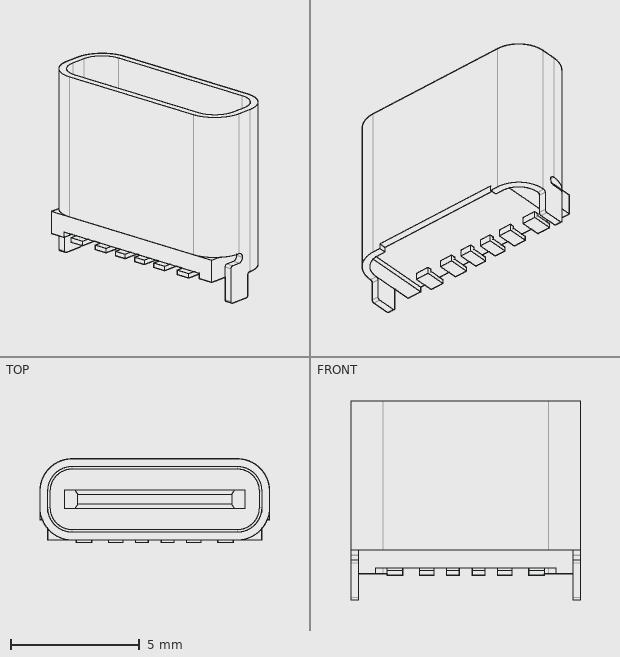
import cadquery as cq

SHELL_WIDTH = 8.94
SHELL_DEPTH = 3.165
SHELL_RADIUS = 1.26
WALL = 0.3
TOP_Z = 7.75
BASE_Z = 1.03
CAVITY_WIDTH = SHELL_WIDTH - 2 * WALL
CAVITY_DEPTH = SHELL_DEPTH - 2 * WALL
CAVITY_RADIUS = SHELL_RADIUS - WALL
FRONT_Y = -SHELL_DEPTH / 2

SLOT_TOP_Z = 1.95
SLOT_HEIGHT = 0.39
SLOT_RADIUS = 0.19
SLOT_END_Y = -0.125
SLOT_BOTTOM_Z = SLOT_TOP_Z - SLOT_HEIGHT
BEND_START_Y = SLOT_END_Y - SLOT_RADIUS

LEG_FRONT_Y = -0.8
LEG_BACK_Y = 0.2
LEG_CORNER_RADIUS = 0.1

FLOOR_CHAMFER = 0.1
FLOOR_Z = SLOT_TOP_Z + FLOOR_CHAMFER
TONGUE_WIDTH = 7.03
TONGUE_TIP_WIDTH = 5.99
TONGUE_THICKNESS = 0.71
TONGUE_TIP_THICKNESS = 0.375
TONGUE_TIP_Z = 6.0
TONGUE_END_SLOPE_HEIGHT = 0.89
TONGUE_TIP_CHAMFER_HEIGHT = 0.17

CHANNEL_WIDTH = 7.03
CHANNEL_DEPTH = 0.22
CHANNEL_TOP_Z = BASE_Z + CHANNEL_DEPTH
SHELL_NOTCH_WIDTH = 5.72

TAIL_PAIRS = [(0.5, 0.51), (1.52, 0.57), (2.75, 0.61)]
TAIL_PROTRUSION = 0.1
TAIL_THICKNESS = 0.19
TAIL_BOTTOM_Z = 0.965
TAIL_TIP_Y = FRONT_Y - TAIL_PROTRUSION
TAIL_BACK_Y = -0.8


def box(x_min, x_max, y_min, y_max, z_min, z_max):
    """Box between the given limits."""
    size = (x_max - x_min, y_max - y_min, z_max - z_min)
    return cq.Workplane("XY").box(*size, centered=False).translate((x_min, y_min, z_min))


def centred_box(width, y_min, y_max, z_min, z_max):
    """Box symmetric about the YZ plane."""
    return box(-width / 2, width / 2, y_min, y_max, z_min, z_max)


def rounded_prism(width, depth, radius, z_min, z_max):
    """Upright prism with rounded vertical edges."""
    return centred_box(width, -depth / 2, depth / 2, z_min, z_max).edges("|Z").fillet(radius)


def front_cut():
    """Full-width region removed from the shell's front: a round-ended slot open to the base."""
    slot = centred_box(SHELL_WIDTH, FRONT_Y, SLOT_END_Y, SLOT_BOTTOM_Z, SLOT_TOP_Z)
    slot = slot.edges("|X and >Y").fillet(SLOT_RADIUS)
    below_slot = centred_box(SHELL_WIDTH, FRONT_Y, BEND_START_Y, BASE_Z, SLOT_BOTTOM_Z)
    return slot.union(below_slot)


def leg(side):
    """Flat leg with rounded corners, flared into the shell's base; side is -1 or 1."""
    radius = LEG_CORNER_RADIUS
    flare_y = LEG_BACK_Y + radius
    flare_z = BASE_Z - radius
    plate = box(0, WALL, LEG_FRONT_Y, LEG_BACK_Y, 0, SLOT_BOTTOM_Z)
    plate = plate.edges("|X").edges("<Z or <Y").fillet(radius)
    flare_round = cq.Workplane("YZ").center(flare_y, flare_z).circle(radius).extrude(WALL)
    flare = box(0, WALL, LEG_BACK_Y, flare_y, flare_z, BASE_Z).cut(flare_round)
    blade = plate.union(flare).translate((CAVITY_WIDTH / 2, 0, 0))
    return blade if side > 0 else blade.mirror("YZ")


def make_shell():
    outside = rounded_prism(SHELL_WIDTH, SHELL_DEPTH, SHELL_RADIUS, BASE_Z, TOP_Z)
    cavity = rounded_prism(CAVITY_WIDTH, CAVITY_DEPTH, CAVITY_RADIUS, BASE_Z, TOP_Z)
    shell = outside.cut(cavity).cut(front_cut())
    back_notch = centred_box(SHELL_NOTCH_WIDTH, 0, SHELL_DEPTH / 2, BASE_Z, CHANNEL_TOP_Z)
    shell = shell.cut(back_notch)
    for side in (-1, 1):
        shell = shell.union(leg(side))
    return shell


def make_tongue():
    """Upright blade with sloped ends near its tip and a chamfer along both long tip edges."""
    half_width = TONGUE_WIDTH / 2
    half_tip_width = TONGUE_TIP_WIDTH / 2
    half_thickness = TONGUE_THICKNESS / 2
    half_tip_thickness = TONGUE_TIP_THICKNESS / 2
    slope_z = TONGUE_TIP_Z - TONGUE_END_SLOPE_HEIGHT
    chamfer_z = TONGUE_TIP_Z - TONGUE_TIP_CHAMFER_HEIGHT
    wide_face = (
        cq.Workplane("XZ")
        .polyline([
            (-half_width, FLOOR_Z),
            (half_width, FLOOR_Z),
            (half_width, slope_z),
            (half_tip_width, TONGUE_TIP_Z),
            (-half_tip_width, TONGUE_TIP_Z),
            (-half_width, slope_z),
        ])
        .close()
        .extrude(half_thickness, both=True)
    )
    narrow_face = (
        cq.Workplane("YZ")
        .polyline([
            (-half_thickness, FLOOR_Z),
            (half_thickness, FLOOR_Z),
            (half_thickness, chamfer_z),
            (half_tip_thickness, TONGUE_TIP_Z),
            (-half_tip_thickness, TONGUE_TIP_Z),
            (-half_thickness, chamfer_z),
        ])
        .close()
        .extrude(half_width, both=True)
    )
    return wide_face.intersect(narrow_face)


def contact_tail(x, width):
    """L-shaped tail: a foot reaching out to the front and an upright into the insert."""
    foot_top_z = TAIL_BOTTOM_Z + TAIL_THICKNESS
    x_min = x - width / 2
    x_max = x + width / 2
    foot = box(x_min, x_max, TAIL_TIP_Y, TAIL_BACK_Y, TAIL_BOTTOM_Z, foot_top_z)
    upright = box(x_min, x_max, TAIL_BACK_Y - TAIL_THICKNESS, TAIL_BACK_Y, foot_top_z, CHANNEL_TOP_Z)
    return foot.union(upright)


def make_insert():
    plug = rounded_prism(CAVITY_WIDTH, CAVITY_DEPTH, CAVITY_RADIUS, BASE_Z, FLOOR_Z)
    plug = plug.faces(">Z").edges().chamfer(FLOOR_CHAMFER)
    foot_block = centred_box(CAVITY_WIDTH, FRONT_Y, BEND_START_Y, BASE_Z, SLOT_TOP_Z)
    channel = centred_box(CHANNEL_WIDTH, FRONT_Y, -FRONT_Y, BASE_Z, CHANNEL_TOP_Z)
    insert = plug.union(foot_block).cut(channel).union(make_tongue())
    for distance, width in TAIL_PAIRS:
        for side in (-1, 1):
            insert = insert.union(contact_tail(side * distance, width))
    return insert


shell = make_shell()
insert = make_insert()
result = cq.Compound.makeCompound([shell.val(), insert.val()])